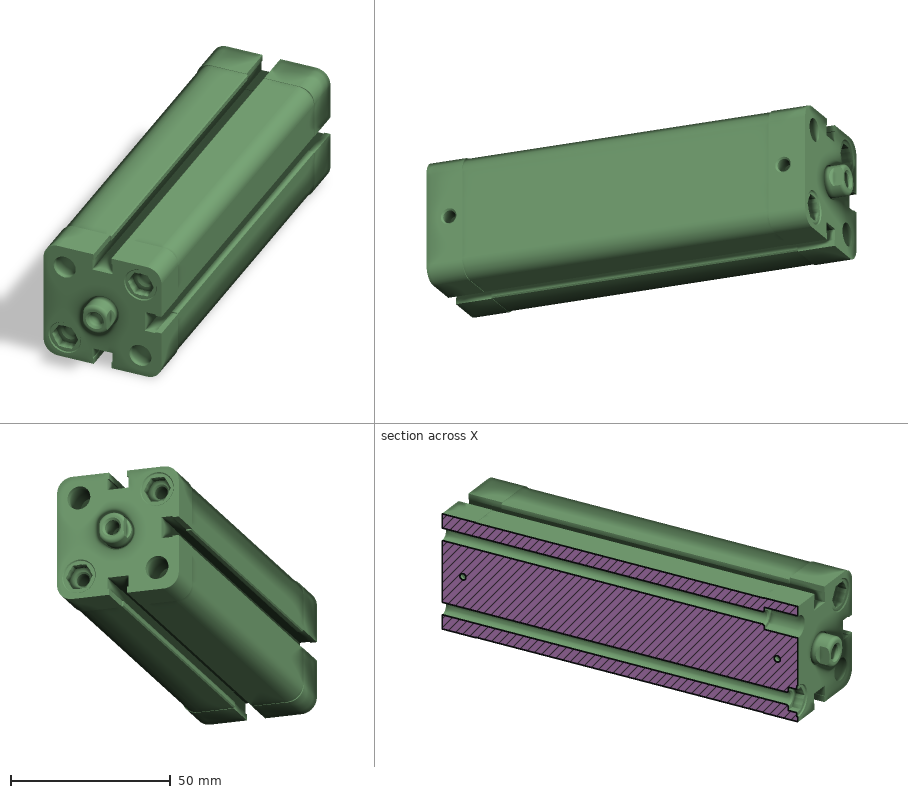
import cadquery as cq

total_length = 135
side = 40.4
rod_projection = 6.0
body_length = total_length - rod_projection
front_cap_length = 12.5
rear_cap_length = 12.3
barrel_inset = 0.1
barrel_side = side - 2 * barrel_inset
barrel_length = body_length - front_cap_length - rear_cap_length
cap_corner_radius = 5.0
barrel_corner_radius = 5.4

slot_depth = 5.7
slot_inner_width = 6.9
lip_thickness = 2.0
cap_slot_opening = 6.1
barrel_slot_opening = 5.3
barrel_lip_chamfer = (cap_slot_opening - barrel_slot_opening) / 2
slot_turns = (0, 90, 180)

hole_offset = 13.0
through_diameter = 4.2
countersink_diameter = 5.3
countersink_depth = (countersink_diameter - through_diameter) / 2
mount_bore_diameter = 7.5
mount_bore_depth = 12.2
socket_rim_diameter = 11.1
socket_mouth_diameter = 10.5
socket_mouth_depth = 0.4
socket_sides = 6
socket_corner_diameter = 8.9
socket_depth = 3.5
socket_bore_diameter = 8.0

rod_diameter = 10.0
rod_recess_diameter = 11.1
rod_recess_depth = 0.5
rod_tip_diameter = 7.5
rod_tip_radius = (rod_diameter - rod_tip_diameter) / 2
flat_width = 8.0
flat_length = 3.4
rod_bore_diameter = 4.9
rod_bore_mouth_diameter = 6.2
rod_bore_depth = 8.1
rod_cone_depth = 1.0
rod_square_side = 2.8
rod_square_depth = 1.4

port_setback = 7.5
port_mouth_diameter = 5.3
port_diameter = 4.2
port_depth = 6.0
port_passage_diameter = 2.0
port_passage_depth = 8.1


def turned_cut(start_y, steps):
    """Solid of revolution about Y, from (depth, diameter) pairs measured inward from start_y."""
    outline = [(0, start_y + steps[0][0])]
    outline += [(diameter / 2, start_y + depth) for depth, diameter in steps]
    outline.append((0, start_y + steps[-1][0]))
    return cq.Workplane("XY").polyline(outline).close().revolve(360, (0, 0, 0), (0, 1, 0))


def square_bar(start_y, length, width, corner_radius):
    """Square bar along Y with rounded long edges."""
    return (
        cq.Workplane("XY")
        .box(width, length, width, centered=(True, False, True))
        .edges("|Y")
        .fillet(corner_radius)
        .translate((0, start_y, 0))
    )


def slot_cutter(start_y, length, width, opening, chamfer):
    """T-slot in the top side, with optionally chamfered outer lip edges."""
    top = width / 2
    lip_underside = side / 2 - lip_thickness
    floor = top - slot_depth
    half_opening = opening / 2
    half_inner = slot_inner_width / 2
    half_outline = [
        (half_opening + chamfer, top),
        (half_opening, top - chamfer),
        (half_opening, lip_underside),
        (half_inner, lip_underside),
        (half_inner, floor),
    ]
    if chamfer == 0:
        half_outline = half_outline[1:]
    mirrored = [(-x, z) for x, z in reversed(half_outline)]
    return (
        cq.Workplane("XZ", origin=(0, start_y, 0))
        .polyline(half_outline + mirrored)
        .close()
        .extrude(-length)
    )


def slotted_bar(start_y, length, width, corner_radius, opening, chamfer):
    """Body section with the T-slot repeated on three sides."""
    bar = square_bar(start_y, length, width, corner_radius)
    cutter = slot_cutter(start_y, length, width, opening, chamfer)
    for turn in slot_turns:
        bar = bar.cut(cutter.rotate((0, 0, 0), (0, 1, 0), turn))
    return bar


def bored_hole(bore_diameter, bore_depth):
    """Bored corner hole that narrows through a cone to the through hole."""
    return turned_cut(0, [
        (0, bore_diameter),
        (bore_depth, bore_diameter),
        (bore_depth, countersink_diameter),
        (bore_depth + countersink_depth, through_diameter),
        (body_length, through_diameter),
    ])


def socket_mount_hole():
    """Corner hole with a chamfered mouth and a hexagon socket around its bore."""
    mouth = turned_cut(0, [(0, socket_rim_diameter), (socket_mouth_depth, socket_mouth_diameter)])
    socket = cq.Workplane("XZ").polygon(socket_sides, socket_corner_diameter).extrude(-socket_depth)
    return bored_hole(socket_bore_diameter, socket_depth).union(mouth).union(socket)


def rod():
    """Round rod with a rounded tip and a pair of wrench flats."""
    bar = turned_cut(-rod_projection, [
        (0, rod_diameter),
        (rod_projection + rod_recess_depth, rod_diameter),
    ])
    bar = bar.faces("<Y").edges().fillet(rod_tip_radius)
    tip_y = -rod_projection
    flat_x = flat_width / 2
    flat_end_y = tip_y + flat_length
    runout = (rod_diameter - flat_width) / 2
    flat = (
        cq.Workplane("XY")
        .polyline([
            (flat_x, tip_y),
            (flat_x, flat_end_y),
            (flat_x + runout, flat_end_y + runout),
            (flat_x + runout, tip_y),
        ])
        .close()
        .extrude(rod_diameter / 2, both=True)
    )
    return bar.cut(flat).cut(flat.mirror("YZ"))


def rod_bore():
    """Countersunk bore in the rod end, closing in a cone with a square recess."""
    mouth_depth = (rod_bore_mouth_diameter - rod_bore_diameter) / 2
    cone_end = rod_bore_depth + rod_cone_depth
    bore = turned_cut(-rod_projection, [
        (0, rod_bore_mouth_diameter),
        (mouth_depth, rod_bore_diameter),
        (rod_bore_depth, rod_bore_diameter),
        (cone_end, rod_square_side),
    ])
    square = (
        cq.Workplane("XZ", origin=(0, rod_bore_depth - rod_projection, 0))
        .rect(rod_square_side, rod_square_side)
        .extrude(-rod_cone_depth - rod_square_depth)
    )
    return bore.union(square)


def port(center_y):
    """Threaded-port hole in the -X side with a chamfered mouth and a narrow passage behind it."""
    mouth_depth = (port_mouth_diameter - port_diameter) / 2
    hole = turned_cut(0, [
        (0, port_mouth_diameter),
        (mouth_depth, port_diameter),
        (port_depth, port_diameter),
        (port_depth, port_passage_diameter),
        (port_passage_depth, port_passage_diameter),
    ])
    return hole.rotate((0, 0, 0), (0, 0, 1), -90).translate((-side / 2, center_y, 0))


front_cap = slotted_bar(0, front_cap_length, side, cap_corner_radius, cap_slot_opening, 0)
barrel = slotted_bar(
    front_cap_length,
    barrel_length,
    barrel_side,
    barrel_corner_radius,
    barrel_slot_opening,
    barrel_lip_chamfer,
)
rear_cap = slotted_bar(
    body_length - rear_cap_length, rear_cap_length, side, cap_corner_radius, cap_slot_opening, 0
)
result = front_cap.union(barrel).union(rear_cap)

socket_hole = socket_mount_hole()
plain_hole = bored_hole(mount_bore_diameter, mount_bore_depth)
for x_sign in (-1, 1):
    for z_sign in (-1, 1):
        hole = socket_hole if x_sign == z_sign else plain_hole
        result = result.cut(hole.translate((x_sign * hole_offset, 0, z_sign * hole_offset)))

rod_recess = turned_cut(0, [(0, rod_recess_diameter), (rod_recess_depth, rod_recess_diameter)])
result = result.cut(rod_recess).union(rod()).cut(rod_bore())

for port_y in (port_setback, body_length - port_setback):
    result = result.cut(port(port_y))